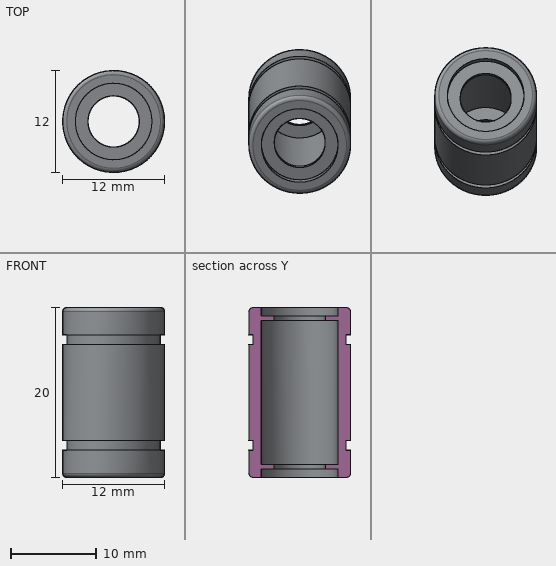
import cadquery as cq

length = 20.0
outer_diameter = 12.0
edge_radius = 0.5

groove_diameter = 11.0
groove_width = 1.1
groove_offset = 3.25

inner_diameter = 9.0
recess_depth = 1.0

lip_diameter = 6.0
lip_thickness = 0.55
cavity_length = length - 2 * (recess_depth + lip_thickness)


def cylinder(diameter, bottom_z, height):
    return cq.Workplane("XY").workplane(offset=bottom_z).circle(diameter / 2).extrude(height)


def sleeve_body():
    return cylinder(outer_diameter, -length / 2, length).edges("%CIRCLE").fillet(edge_radius)


def groove_ring(bottom_z):
    outer = cylinder(outer_diameter, bottom_z, groove_width)
    return outer.cut(cylinder(groove_diameter, bottom_z, groove_width))


result = sleeve_body()
result = result.cut(cylinder(lip_diameter, -length / 2, length))
result = result.cut(cylinder(inner_diameter, -cavity_length / 2, cavity_length))

for recess_bottom in (length / 2 - recess_depth, -length / 2):
    result = result.cut(cylinder(inner_diameter, recess_bottom, recess_depth))

upper_groove_bottom = length / 2 - groove_offset - groove_width
lower_groove_bottom = -length / 2 + groove_offset
for groove_bottom in (upper_groove_bottom, lower_groove_bottom):
    result = result.cut(groove_ring(groove_bottom))